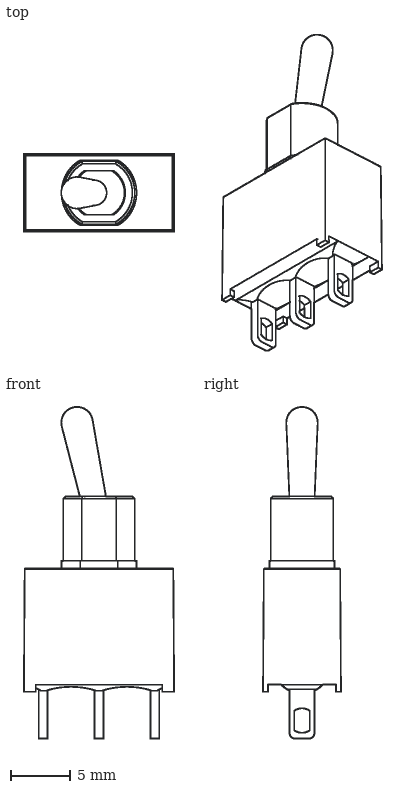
import cadquery as cq
import math

OVERALL_HEIGHT = 28.01
JOIN_OVERLAP = 0.3

CASE_LENGTH = 12.7
CASE_WIDTH = 6.6
CASE_TOP = 10.45
CASE_TOP_INSET = 0.07
CASE_EDGE_CHAMFER = 0.1
FOOT_HEIGHT = 0.62
FOOT_LENGTH = 1.02
FOOT_WIDTH = 0.45

TERMINAL_COUNT = 3
TERMINAL_PITCH = 4.72
TERMINAL_THICKNESS = 0.76
TERMINAL_WIDTH = 2.12
TERMINAL_REACH = 3.95
TERMINAL_CORNER_RADIUS = 0.5
EYE_WIDTH = 1.27
EYE_HEIGHT = 2.05
EYE_END_RISE = 0.2
EYE_MARGIN = 0.51

BEAD_LENGTH = 12.4
BEAD_HALF_WIDTH = 1.78
BEAD_SAG = 0.74
BEAD_CREST_DEPTH = 0.61
BEAD_VALLEY_DEPTH = 0.2
BEAD_END_HOLLOW = 0.05

COLLAR_RADIUS = 3.175
COLLAR_HALF_WIDTH = 2.76
COLLAR_HEIGHT = 0.6
BUSHING_RADIUS = 3.02
BUSHING_HALF_WIDTH = 2.65
BUSHING_HEIGHT = 6.05
BUSHING_CHAMFER = 0.2
BORE_RADIUS = 2.22
BORE_HALF_WIDTH = 1.87

PIVOT_HEIGHT = 3.7
PIVOT_BALL_RADIUS = 2.15
LEVER_TILT = 12.2
LEVER_TAPER = 2.3
TIP_RADIUS = 1.34

pivot_z = CASE_TOP + PIVOT_HEIGHT
tip_z = OVERALL_HEIGHT - TERMINAL_REACH


def make_case():
    """Drafted box standing on four corner feet."""
    draft_angle = math.degrees(math.atan(CASE_TOP_INSET / CASE_TOP))
    case = cq.Workplane("XY").rect(CASE_LENGTH, CASE_WIDTH).extrude(CASE_TOP, taper=draft_angle)
    case = case.faces(">Z").chamfer(CASE_EDGE_CHAMFER)
    gap_along_x = cq.Workplane("XY").box(
        CASE_LENGTH - 2 * FOOT_LENGTH, 2 * CASE_WIDTH, FOOT_HEIGHT, centered=(True, True, False)
    )
    gap_along_y = cq.Workplane("XY").box(
        2 * CASE_LENGTH, CASE_WIDTH - 2 * FOOT_WIDTH, FOOT_HEIGHT, centered=(True, True, False)
    )
    return case.cut(gap_along_x).cut(gap_along_y)


def terminal_positions():
    """X positions of the terminals, centred on the case."""
    middle = (TERMINAL_COUNT - 1) / 2
    return [(i - middle) * TERMINAL_PITCH for i in range(TERMINAL_COUNT)]


def make_bead():
    """Domed strip along X, cresting at each terminal and tapering out at both ends."""
    root_z = FOOT_HEIGHT + JOIN_OVERLAP
    dome = (
        cq.Workplane("YZ", origin=(-BEAD_LENGTH / 2, 0, 0))
        .moveTo(-BEAD_HALF_WIDTH, root_z)
        .lineTo(-BEAD_HALF_WIDTH, FOOT_HEIGHT)
        .threePointArc((0, FOOT_HEIGHT - BEAD_SAG), (BEAD_HALF_WIDTH, FOOT_HEIGHT))
        .lineTo(BEAD_HALF_WIDTH, root_z)
        .close()
        .extrude(BEAD_LENGTH)
    )
    crest_z = FOOT_HEIGHT - BEAD_CREST_DEPTH
    valley_z = FOOT_HEIGHT - BEAD_VALLEY_DEPTH
    end_middle_z = (FOOT_HEIGHT + crest_z) / 2 + BEAD_END_HOLLOW
    crests = terminal_positions()
    start_x = -BEAD_LENGTH / 2
    end_x = BEAD_LENGTH / 2
    profile = (
        cq.Workplane("XZ")
        .moveTo(start_x, root_z)
        .lineTo(start_x, FOOT_HEIGHT)
        .threePointArc(((start_x + crests[0]) / 2, end_middle_z), (crests[0], crest_z))
    )
    for x, next_x in zip(crests, crests[1:]):
        profile = profile.threePointArc(((x + next_x) / 2, valley_z), (next_x, crest_z))
    profile = (
        profile.threePointArc(((crests[-1] + end_x) / 2, end_middle_z), (end_x, FOOT_HEIGHT))
        .lineTo(end_x, root_z)
        .close()
        .extrude(BEAD_HALF_WIDTH, both=True)
    )
    return dome.intersect(profile)


def make_terminal(x):
    """Flat solder lug with rounded lower corners and an arched eye."""
    top_z = FOOT_HEIGHT + JOIN_OVERLAP
    height = TERMINAL_REACH + top_z
    lug = (
        cq.Workplane("XY", origin=(x, 0, -TERMINAL_REACH))
        .box(TERMINAL_THICKNESS, TERMINAL_WIDTH, height, centered=(True, True, False))
        .edges("|X and <Z")
        .fillet(TERMINAL_CORNER_RADIUS)
    )
    eye_bottom = EYE_MARGIN - TERMINAL_REACH
    eye_top = eye_bottom + EYE_HEIGHT
    half_eye = EYE_WIDTH / 2
    eye = (
        cq.Workplane("YZ", origin=(x, 0, 0))
        .moveTo(-half_eye, eye_bottom + EYE_END_RISE)
        .threePointArc((0, eye_bottom), (half_eye, eye_bottom + EYE_END_RISE))
        .lineTo(half_eye, eye_top - EYE_END_RISE)
        .threePointArc((0, eye_top), (-half_eye, eye_top - EYE_END_RISE))
        .close()
        .extrude(TERMINAL_THICKNESS, both=True)
    )
    return lug.cut(eye)


def double_flat(radius, half_width, bottom_z, top_z):
    """Upright cylinder on the Z axis with flats at -Y and +Y."""
    height = top_z - bottom_z
    base = cq.Workplane("XY", origin=(0, 0, bottom_z))
    slab = base.box(2 * radius, 2 * half_width, height, centered=(True, True, False))
    return base.circle(radius).extrude(height).intersect(slab)


def make_bushing():
    """Collar and chamfered bushing, bored down to the pivot height."""
    root_z = CASE_TOP - JOIN_OVERLAP
    top_z = CASE_TOP + BUSHING_HEIGHT
    collar = double_flat(COLLAR_RADIUS, COLLAR_HALF_WIDTH, root_z, CASE_TOP + COLLAR_HEIGHT)
    bushing = double_flat(BUSHING_RADIUS, BUSHING_HALF_WIDTH, root_z, top_z)
    bushing = bushing.faces(">Z").chamfer(BUSHING_CHAMFER)
    bore = double_flat(BORE_RADIUS, BORE_HALF_WIDTH, pivot_z, top_z)
    return collar.union(bushing).cut(bore)


def make_lever():
    """Tilted lever: a cone widening upward from the pivot to a tangent ball tip."""
    length = (tip_z - TIP_RADIUS - pivot_z) / math.cos(math.radians(LEVER_TILT))
    taper = math.radians(LEVER_TAPER)
    tangent_radius = TIP_RADIUS * math.cos(taper)
    tangent_z = length - TIP_RADIUS * math.sin(taper)
    tip_diagonal = TIP_RADIUS * math.sqrt(0.5)
    root_radius = tangent_radius - tangent_z * math.tan(taper)
    lever = (
        cq.Workplane("XZ")
        .lineTo(root_radius, 0)
        .lineTo(tangent_radius, tangent_z)
        .threePointArc((tip_diagonal, length + tip_diagonal), (0, length + TIP_RADIUS))
        .close()
        .revolve(360, (0, 0, 0), (0, 1, 0))
    )
    lever = lever.rotate((0, 0, 0), (0, 1, 0), -LEVER_TILT)
    return lever.translate((0, 0, pivot_z))


def make_pivot_ball():
    """Ball seated in the bore, merging into its flats."""
    return cq.Workplane("XY", origin=(0, 0, pivot_z)).sphere(PIVOT_BALL_RADIUS)


result = make_case().union(make_bead()).union(make_bushing())
for terminal_x in terminal_positions():
    result = result.union(make_terminal(terminal_x))
result = result.union(make_pivot_ball()).union(make_lever())